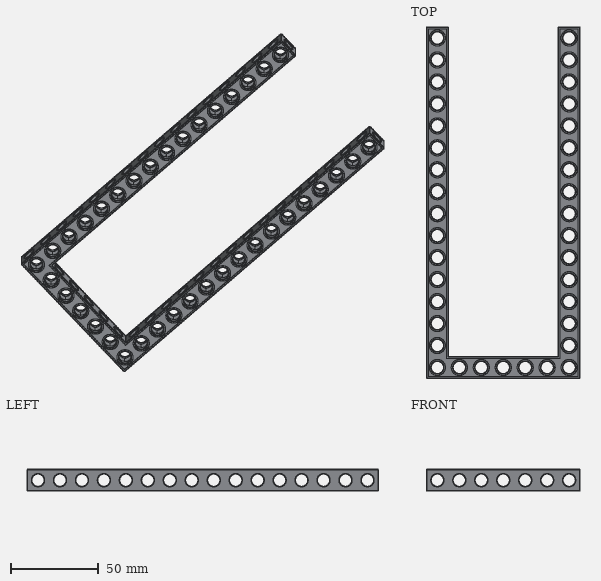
import cadquery as cq

LENGTH = 200.0
HOLES_LONG = 16
HOLES_WIDE = 7
HOLE_DIAMETER = 7.0
CHAMFER = 0.3
RIM_WIDTH = 0.8
PANEL_DEPTH = 0.2

PITCH = LENGTH / HOLES_LONG
WIDTH = HOLES_WIDE * PITCH
RIM_INSET = CHAMFER + RIM_WIDTH
RIM_DIAMETER = HOLE_DIAMETER + 2 * RIM_INSET

COLUMNS = [(i - (HOLES_WIDE - 1) / 2) * PITCH for i in range(HOLES_WIDE)]
ROWS = [(j - (HOLES_LONG - 1) / 2) * PITCH for j in range(HOLES_LONG)]
ARM_COLUMNS = (COLUMNS[0], COLUMNS[-1])
CROSSBAR_ROW = ROWS[0]
INNER_COLUMNS = COLUMNS[1:-1]
INNER_ROWS = ROWS[1:]
VERTICAL_CENTERS = [(x, y) for x in ARM_COLUMNS for y in ROWS] + [(x, CROSSBAR_ROW) for x in INNER_COLUMNS]


def u_shape(inset, height):
    """U-shaped slab open towards +Y, its outline moved inwards by `inset`, standing on Z = 0."""
    outer_x = WIDTH / 2 - inset
    inner_x = WIDTH / 2 - PITCH + inset
    front_y = -LENGTH / 2 + inset
    crossbar_y = -LENGTH / 2 + PITCH - inset
    end_y = LENGTH / 2 - inset
    outline = [
        (-outer_x, front_y),
        (outer_x, front_y),
        (outer_x, end_y),
        (inner_x, end_y),
        (inner_x, crossbar_y),
        (-inner_x, crossbar_y),
        (-inner_x, end_y),
        (-outer_x, end_y),
    ]
    return cq.Workplane("XY").polyline(outline).close().extrude(height)


def frame():
    """Square-section U frame with all edges chamfered, centred on the origin."""
    body = u_shape(0, PITCH).edges("|Z").chamfer(CHAMFER)
    body = body.faces("<Z or >Z").edges().chamfer(CHAMFER)
    return body.translate((0, 0, -PITCH / 2))


def panel_recess():
    """Shallow recess that leaves a rim along the outline and a ring around each vertical hole."""
    rings = cq.Workplane("XY").pushPoints(VERTICAL_CENTERS).circle(RIM_DIAMETER / 2).extrude(PANEL_DEPTH)
    return u_shape(RIM_INSET, PANEL_DEPTH).cut(rings)


def hole_cutter(depth):
    """Bore along Z, centred on the origin, flared at both ends to chamfer the hole mouths."""
    radius = HOLE_DIAMETER / 2
    half = depth / 2
    profile = [
        (0, -half),
        (radius + CHAMFER, -half),
        (radius, -half + CHAMFER),
        (radius, half - CHAMFER),
        (radius + CHAMFER, half),
        (0, half),
    ]
    return cq.Workplane("XZ").polyline(profile).close().revolve(360, (0, 0, 0), (0, 1, 0))


def copies(cutter, centers):
    """Compound of the cutter repeated at the given XYZ centres."""
    return cq.Workplane(cq.Compound.makeCompound([cutter.translate(center).val() for center in centers]))


def along_x(cutter):
    return cutter.rotate((0, 0, 0), (0, 1, 0), 90)


def along_y(cutter):
    return cutter.rotate((0, 0, 0), (1, 0, 0), 90)


body = frame()

body = body.cut(panel_recess().translate((0, 0, PITCH / 2 - PANEL_DEPTH)))
body = body.cut(panel_recess().translate((0, 0, -PITCH / 2)))

short_cutter = hole_cutter(PITCH)
body = body.cut(copies(short_cutter, [(x, y, 0) for x, y in VERTICAL_CENTERS]))

body = body.cut(along_x(hole_cutter(WIDTH)).translate((0, CROSSBAR_ROW, 0)))
body = body.cut(copies(along_x(short_cutter), [(x, y, 0) for x in ARM_COLUMNS for y in INNER_ROWS]))

body = body.cut(copies(along_y(hole_cutter(LENGTH)), [(x, 0, 0) for x in ARM_COLUMNS]))
body = body.cut(copies(along_y(short_cutter), [(x, CROSSBAR_ROW, 0) for x in INNER_COLUMNS]))

result = body